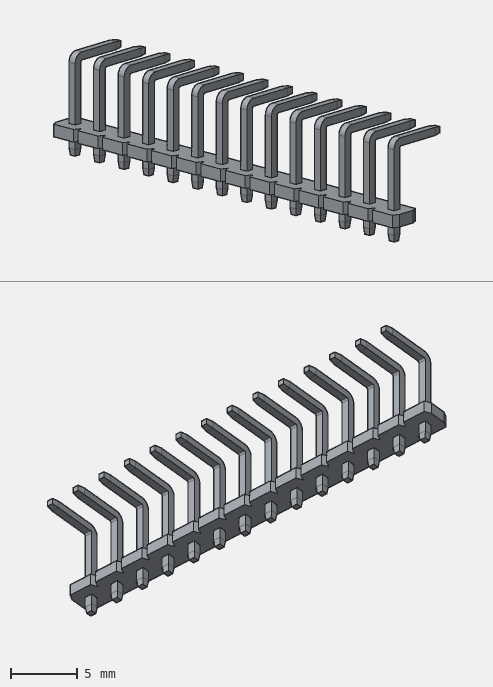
import cadquery as cq


pin_count = 14
strip_length = 35.55
pitch = strip_length / pin_count
strip_width = 2.52
strip_height = 1.0
corner_along = 0.25
corner_across = 0.55

pin_size = 0.65
pin_top = 6.58
tail_length = 1.5
overall_depth = 6.05
arm_reach = overall_depth - strip_width / 2
bend_inner_radius = 0.15
bend_outer_radius = bend_inner_radius + pin_size
arm_tip_length = 0.65
tail_tip_length = 0.57
tip_size = 0.5


def make_cell(center_x):
    """One octagonal cell of the strip; neighbours leave a V notch between them."""
    half_x = pitch / 2
    half_y = strip_width / 2
    flat_x = half_x - corner_along
    flat_y = half_y - corner_across
    outline = [
        (-half_x, -flat_y),
        (-flat_x, -half_y),
        (flat_x, -half_y),
        (half_x, -flat_y),
        (half_x, flat_y),
        (flat_x, half_y),
        (-flat_x, half_y),
        (-half_x, flat_y),
    ]
    cell = cq.Workplane("XY").polyline(outline).close().extrude(strip_height)
    return cell.translate((center_x, 0, 0))


def make_tip(base_plane, length):
    """Square tip tapering from the full pin section along the plane's normal."""
    base = cq.Workplane(base_plane).rect(pin_size, pin_size)
    return base.workplane(offset=length).rect(tip_size, tip_size).loft(ruled=True)


def make_pin():
    """Bent pin on the Z axis, with a tapered tip at each end."""
    half = pin_size / 2
    shaft_bottom = tail_tip_length - tail_length
    arm_end = arm_reach - arm_tip_length
    arm_bottom = pin_top - pin_size

    shank = (
        cq.Workplane("YZ")
        .moveTo(-half, shaft_bottom)
        .lineTo(half, shaft_bottom)
        .lineTo(half, arm_bottom - bend_inner_radius)
        .radiusArc((half + bend_inner_radius, arm_bottom), bend_inner_radius)
        .lineTo(arm_end, arm_bottom)
        .lineTo(arm_end, pin_top)
        .lineTo(bend_outer_radius - half, pin_top)
        .radiusArc((-half, pin_top - bend_outer_radius), -bend_outer_radius)
        .close()
        .extrude(half, both=True)
    )

    tail_plane = cq.Plane(origin=(0, 0, shaft_bottom), xDir=(1, 0, 0), normal=(0, 0, -1))
    arm_plane = cq.Plane(origin=(0, arm_end, pin_top - half), xDir=(1, 0, 0), normal=(0, 1, 0))
    tail_tip = make_tip(tail_plane, tail_tip_length)
    arm_tip = make_tip(arm_plane, arm_tip_length)
    return shank.union(tail_tip).union(arm_tip)


pin_positions = [(i - (pin_count - 1) / 2) * pitch for i in range(pin_count)]
pin = make_pin()

result = make_cell(pin_positions[0])
for x in pin_positions[1:]:
    result = result.union(make_cell(x))
result = result.clean()
for x in pin_positions:
    result = result.union(pin.translate((x, 0, 0)))